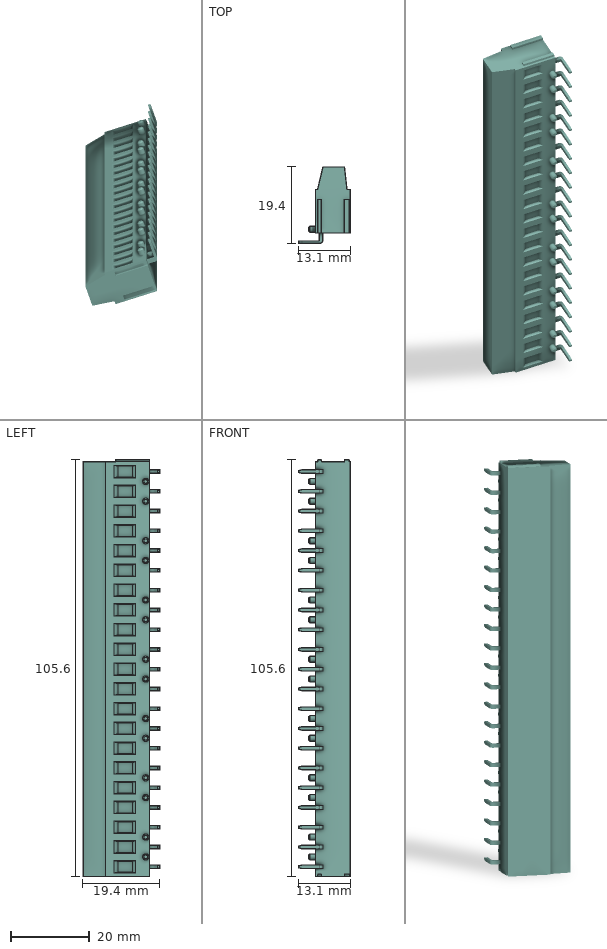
import cadquery as cq


body_width = 8.9
body_height = 16.8
body_length = 105.0
shoulder_height = 11.1
left_shoulder = 0.5
right_shoulder = 0.8
top_left = 1.9
top_right = 7.4

pole_count = 21
poles_per_block = 3

pole_pitch = body_length / pole_count

overall_length = 105.6
rib_height = overall_length - body_length
rib_run = 8.5
groove_depth = 0.6
rib_draft = 0.1
rib_spans = [(0.5, 1.6), (7.3, 8.7)]

window_bottom = 3.5
window_top = 9.0
window_width = 3.2
window_depth = 0.7
window_lower_ramp = 0.8
window_upper_ramp = 1.0
window_side_draft = 0.2

pin_reach = 4.2
pin_drop = 2.6
pin_width = 1.0
pin_foot_thickness = 0.6
pin_leg_left = 1.0
pin_leg_right = 1.9
pin_bend_radius = 0.8
pin_tip_length = 0.8
pin_tip_chamfer = 0.2
pin_embed = 1.1

peg_diameter = 1.6
peg_length = 1.7
peg_height = 1.0
peg_chamfer = 0.3


def pole_position(index):
    """Each pole sits in the middle of its own pitch-long share of the housing."""
    return (index + 0.5) * pole_pitch


def make_body():
    outline = [
        (0, 0),
        (body_width, 0),
        (body_width, shoulder_height),
        (body_width - right_shoulder, shoulder_height),
        (top_right, body_height),
        (top_left, body_height),
        (left_shoulder, shoulder_height),
        (0, shoulder_height),
    ]
    return cq.Workplane("XY").polyline(outline).close().extrude(body_length)


def make_rib(left, right, base, height):
    """A rib standing on the level base, narrowing toward its crest."""
    section = [
        (left, base),
        (right, base),
        (right - rib_draft, base + height),
        (left + rib_draft, base + height),
    ]
    return cq.Workplane("XZ").polyline(section).close().extrude(-rib_run)


def make_window(z):
    """A shallow opening with sloping walls, narrowest at its floor."""
    middle = (window_bottom + window_top) / 2
    floor_bottom = window_bottom + window_lower_ramp
    floor_top = window_top - window_upper_ramp
    floor_middle = (floor_bottom + floor_top) / 2
    return (
        cq.Workplane("YZ")
        .center(middle, z)
        .rect(window_top - window_bottom, window_width)
        .workplane(offset=window_depth)
        .center(floor_middle - middle, 0)
        .rect(floor_top - floor_bottom, window_width - 2 * window_side_draft)
        .loft()
    )


def make_pin(z):
    """An L-shaped pin whose foot points left, with a narrowed tip."""
    outline = [
        (-pin_reach, -pin_drop),
        (pin_leg_right, -pin_drop),
        (pin_leg_right, pin_embed),
        (pin_leg_left, pin_embed),
        (pin_leg_left, pin_foot_thickness - pin_drop),
        (-pin_reach, pin_foot_thickness - pin_drop),
    ]
    half_width = pin_width / 2
    half_tip = half_width - pin_tip_chamfer
    face = [
        (-pin_reach, -half_tip),
        (pin_tip_length - pin_reach, -half_width),
        (pin_leg_right, -half_width),
        (pin_leg_right, half_width),
        (pin_tip_length - pin_reach, half_width),
        (-pin_reach, half_tip),
    ]
    bar = cq.Workplane("XY").polyline(outline).close().extrude(half_width, both=True)
    bar = bar.edges("|Z and >X and <Y").fillet(pin_bend_radius)
    tapered = cq.Workplane("XZ").polyline(face).close().extrude(pin_drop + pin_embed, both=True)
    return bar.intersect(tapered).translate((0, 0, z))


def make_peg(z):
    peg = cq.Workplane("YZ").center(peg_height, z).circle(peg_diameter / 2).extrude(-peg_length)
    return peg.faces("<X").chamfer(peg_chamfer)


result = make_body()

for left, right in rib_spans:
    result = result.union(make_rib(left, right, body_length, rib_height))
    result = result.cut(make_rib(left, right, 0, groove_depth))

for index in range(pole_count):
    z = pole_position(index)
    result = result.cut(make_window(z))
    result = result.union(make_pin(z))
    if (index + 1) % poles_per_block != 0:
        result = result.union(make_peg(z + pole_pitch / 2))